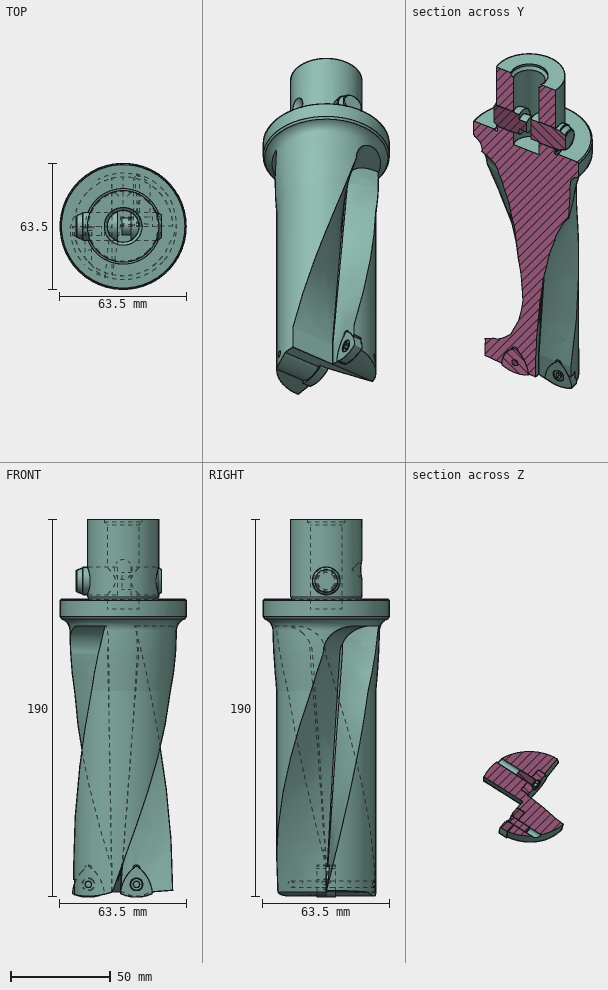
import cadquery as cq
import math


shank_radius = 18.0
shank_height = 40.0
undercut_radius = 17.5
undercut_height = 1.0
groove_radius = 19.0
groove_depth = 0.6
bore_radius = 8.0
bore_depth = 45.0
counterbore_radius = 9.5
counterbore_depth = 1.2
dimple_radius = 5.0
dimple_z = 14.9
flange_radius = 63.5 / 2
flange_height = 10.0
flange_top_chamfer = 0.7
flange_bottom_chamfer_height = 1.2
flange_bottom_radius = 31.0

drill_length = 150.0
neck_radius = 26.8
neck_top_z = -15.8
neck_middle_radius = 26.1
neck_middle_z = -33.0
body_radius = 24.95
body_top_z = -46.5
past_body = 40.0

pin_radius = 7.0
pin_z = 9.1
thrust_pin_outer_x = -23.8
thrust_pin_inner_x = -2.9
thrust_pin_end_radius = 5.0
thrust_pin_edge_chamfer = 0.5
thrust_pin_taper_x = -20.5
thrust_pin_taper_radius = 6.6
catch_pin_outer_x = 19.3
catch_pin_shoulder_x = 4.0
catch_pin_inner_x = -0.5
catch_pin_nose_radius = 4.3
catch_pin_end_radius = 5.7
catch_pin_taper = 1.8

insert_corner_distance = 9.3
insert_side_distance = 6.5
insert_corner_radius = 0.8
insert_thickness = 4.6
insert_z = insert_side_distance - drill_length
inner_insert_x = 6.7
outer_insert_x = -17.5
corner_relief_radius = 1.8
corner_relief_inset = 1.3
screw_head_radius = 3.2
screw_radius = 1.6
screw_head_depth = 2.2
screw_head_recess = 0.4
screw_length = 12.0
socket_radius = 1.8
socket_depth = 1.6
outer_slot_x = -22.0
outer_slot_top_z = -141.1

end_low_z = -149.4
end_middle_z = -147.4
end_rim_z = -146.5
end_split_x = -5.6
inner_hump_half_width = 6.7

runout_radius = 14.0
flute_end_z = -13.5
runout_start_z = flute_end_z - runout_radius
flute_stations = 6
flute_reach = 60.0
flute_root_start_flat = 0.2
flute_root_end_flat = 0.9
face_rate = 0.57
flute_end_root = (-7.0, -7.2)
outer_flute_start_z = -134.8
outer_flute_root = (-5.7, 0.0)
outer_flute_face_angle = 180.0
outer_flute_wall_angle = 103.5
outer_flute_end_wall_angle = 182.0
inner_flute_start_z = -147.3
inner_flute_root = (-1.5, 0.0)
inner_flute_face_angle = 360.0
inner_flute_wall_angle = 257.4
inner_flute_end_wall_angle = 358.0


def on_body(angle):
    """Point on the body's outer circle."""
    return (
        body_radius * math.cos(math.radians(angle)),
        body_radius * math.sin(math.radians(angle)),
    )


def between(first, last, fraction):
    return first + (last - first) * fraction


def unit(start, end):
    length = math.hypot(end[0] - start[0], end[1] - start[1])
    return ((end[0] - start[0]) / length, (end[1] - start[1]) / length)


def along(start, direction, distance):
    return (start[0] + direction[0] * distance, start[1] + direction[1] * distance)


def flute_section(root, wall_angle, face_angle, root_flat):
    """Corner between the flute wall and the cutting face, open to the outside."""
    wall = unit(root, on_body(wall_angle))
    face = unit(root, on_body(face_angle))
    wall_end = along(root, wall, flute_reach)
    face_end = along(root, face, flute_reach)
    return [
        along(root, wall, root_flat),
        wall_end,
        along(wall_end, face, flute_reach),
        face_end,
        along(root, face, root_flat),
    ]


def section_wire(points, z):
    return cq.Wire.makePolygon([cq.Vector(x, y, z) for x, y in points], close=True)


def make_flute(start_z, start_root, start_wall_angle, start_face_angle, end_root, end_wall_angle):
    """Straight start, twisting length and rounded run-out of one flute."""

    def section(z):
        fraction = (min(z, runout_start_z) - start_z) / (runout_start_z - start_z)
        root = (
            between(start_root[0], end_root[0], fraction),
            between(start_root[1], end_root[1], fraction),
        )
        wall_angle = between(start_wall_angle, end_wall_angle, fraction)
        face_angle = start_face_angle + face_rate * (z - start_z)
        root_flat = between(flute_root_start_flat, flute_root_end_flat, fraction)
        return section_wire(flute_section(root, wall_angle, face_angle, root_flat), z)

    heights = [
        between(start_z, runout_start_z, i / (flute_stations - 1)) for i in range(flute_stations)
    ]
    twist = cq.Solid.makeLoft([section(z) for z in heights])

    start_section = flute_section(
        start_root, start_wall_angle, start_face_angle, flute_root_start_flat
    )
    straight = (
        cq.Workplane("XY", origin=(0, 0, start_z)).polyline(start_section).close().extrude(-past_body)
    )

    end_block = cq.Workplane(cq.Solid.makeLoft([section(runout_start_z), section(flute_end_z)], True))
    wall = unit(end_root, on_body(end_wall_angle))
    towards_face = (-wall[1], wall[0], 0)
    runout_plane = cq.Plane(
        origin=(end_root[0], end_root[1], runout_start_z),
        xDir=towards_face,
        normal=(wall[0], wall[1], 0),
    )
    diagonal = runout_radius * math.sqrt(0.5)
    runout_limit = (
        cq.Workplane(runout_plane)
        .threePointArc((runout_radius - diagonal, diagonal), (runout_radius, runout_radius))
        .lineTo(flute_reach, runout_radius)
        .lineTo(flute_reach, 0)
        .close()
        .extrude(flute_reach, both=True)
    )
    return cq.Workplane(twist).union(end_block.intersect(runout_limit)).union(straight)


def make_pin(points):
    """Turned pin on the X axis of the cross hole, from its (x, radius) outline."""
    first_x = points[0][0]
    last_x = points[-1][0]
    return (
        cq.Workplane("XZ", origin=(0, 0, pin_z))
        .polyline([(first_x, 0)] + points + [(last_x, 0)])
        .close()
        .revolve(360, (0, 0, 0), (1, 0, 0))
    )


def cutting_plane(x, facing):
    """Plane at an insert's centre; `facing` is the Y direction the cutting face looks at."""
    return cq.Plane(origin=(x, 0, insert_z), xDir=(-facing, 0, 0), normal=(0, facing, 0))


def make_insert_blank(x, facing):
    """Trigon insert without its hole: three bulged sides and rounded corners."""
    outline = cq.Workplane(cutting_plane(x, facing))

    def polar(distance, angle):
        return (
            distance * math.cos(math.radians(angle)),
            distance * math.sin(math.radians(angle)),
        )

    outline = outline.moveTo(*polar(insert_corner_distance, 90))
    for corner_angle in (90, 210, 330):
        outline = outline.threePointArc(
            polar(insert_side_distance, corner_angle + 60),
            polar(insert_corner_distance, corner_angle + 120),
        )
    prism = outline.close().extrude(-insert_thickness)
    return prism.edges("|Y").fillet(insert_corner_radius)


def make_screw_blank(x, facing):
    """Countersunk screw shape reaching up to the insert face."""
    return (
        cq.Workplane(cutting_plane(x, facing))
        .circle(screw_radius)
        .extrude(-screw_length)
        .union(screw_head(x, facing))
    )


def screw_head(x, facing):
    """Countersunk cone narrowing from the insert face."""
    cone = cq.Solid.makeCone(
        screw_head_radius,
        screw_radius,
        screw_head_depth,
        pnt=cq.Vector(x, 0, insert_z),
        dir=cq.Vector(0, -facing, 0),
    )
    return cq.Workplane(cone)


def make_screw(x, facing):
    """Screw with its head sunk a little below the insert face and a hexagon socket."""
    plane = cutting_plane(x, facing)
    recess = cq.Workplane(plane).circle(screw_head_radius).extrude(-screw_head_recess)
    socket = cq.Workplane(plane).polygon(6, 2 * socket_radius).extrude(-screw_head_recess - socket_depth)
    return make_screw_blank(x, facing).cut(recess).cut(socket)


def make_turned_body():
    """Shank, flange, necked drill body and the shank bore."""
    return (
        cq.Workplane("XZ")
        .moveTo(0, -drill_length)
        .lineTo(body_radius, -drill_length)
        .lineTo(body_radius, body_top_z)
        .threePointArc((neck_middle_radius, neck_middle_z), (neck_radius, neck_top_z))
        .tangentArcPoint((flange_bottom_radius, -flange_height), relative=False)
        .lineTo(flange_radius, flange_bottom_chamfer_height - flange_height)
        .lineTo(flange_radius, -flange_top_chamfer)
        .lineTo(flange_radius - flange_top_chamfer, 0)
        .lineTo(groove_radius, 0)
        .lineTo(groove_radius, -groove_depth)
        .lineTo(undercut_radius, -groove_depth)
        .lineTo(undercut_radius, undercut_height)
        .lineTo(shank_radius, undercut_height)
        .lineTo(shank_radius, shank_height)
        .lineTo(counterbore_radius, shank_height)
        .lineTo(counterbore_radius, shank_height - counterbore_depth)
        .lineTo(bore_radius, shank_height - counterbore_depth - (counterbore_radius - bore_radius))
        .lineTo(bore_radius, shank_height - bore_depth)
        .lineTo(0, shank_height - bore_depth)
        .close()
        .revolve(360, (0, 0, 0), (0, 1, 0))
    )


def make_end_relief():
    """Everything below the end: two humps behind the inserts and a rising rim on the +X side."""
    outer_hump_half_width = end_split_x - outer_insert_x
    return (
        cq.Workplane("XZ")
        .moveTo(outer_insert_x - outer_hump_half_width, end_middle_z)
        .threePointArc((outer_insert_x, end_low_z), (end_split_x, end_middle_z))
        .lineTo(inner_insert_x - inner_hump_half_width, end_middle_z)
        .threePointArc((inner_insert_x, end_low_z), (inner_insert_x + inner_hump_half_width, end_middle_z))
        .lineTo(body_radius, end_rim_z)
        .lineTo(past_body, end_rim_z)
        .lineTo(past_body, -drill_length - past_body)
        .lineTo(outer_insert_x - outer_hump_half_width, -drill_length - past_body)
        .close()
        .extrude(past_body, both=True)
    )


def make_insert_seat(x, facing):
    """Pocket for the insert with a relief at its upper corner, and the screw hole behind it."""
    plane = cutting_plane(x, facing)
    relief = (
        cq.Workplane(plane)
        .center(0, insert_corner_distance - corner_relief_inset)
        .circle(corner_relief_radius)
        .extrude(-insert_thickness)
    )
    screw_hole = cq.Workplane(plane).circle(screw_radius).extrude(-past_body)
    return [make_insert_blank(x, facing), relief, screw_hole]


thrust_pin = make_pin(
    [
        (thrust_pin_outer_x, thrust_pin_end_radius),
        (thrust_pin_outer_x + thrust_pin_edge_chamfer, thrust_pin_end_radius + thrust_pin_edge_chamfer),
        (thrust_pin_taper_x, thrust_pin_taper_radius),
        (thrust_pin_taper_x + pin_radius - thrust_pin_taper_radius, pin_radius),
        (thrust_pin_inner_x, pin_radius),
    ]
)
catch_pin = make_pin(
    [
        (catch_pin_inner_x, catch_pin_nose_radius),
        (catch_pin_shoulder_x, catch_pin_nose_radius),
        (catch_pin_shoulder_x, pin_radius),
        (catch_pin_outer_x - catch_pin_taper, pin_radius),
        (catch_pin_outer_x, catch_pin_end_radius),
    ]
)

insert_places = [(inner_insert_x, -1), (outer_insert_x, 1)]
inserts = [make_insert_blank(x, facing).cut(make_screw_blank(x, facing)) for x, facing in insert_places]
screws = [make_screw(x, facing) for x, facing in insert_places]

outer_flute = make_flute(
    outer_flute_start_z,
    outer_flute_root,
    outer_flute_wall_angle,
    outer_flute_face_angle,
    flute_end_root,
    outer_flute_end_wall_angle,
)
inner_flute = make_flute(
    inner_flute_start_z,
    inner_flute_root,
    inner_flute_wall_angle,
    inner_flute_face_angle,
    (-flute_end_root[0], -flute_end_root[1]),
    inner_flute_end_wall_angle,
)
cross_hole = cq.Workplane("YZ", origin=(0, 0, pin_z)).circle(pin_radius).extrude(past_body, both=True)
dimple = cq.Workplane(
    cq.Solid.makeCone(
        dimple_radius,
        0,
        dimple_radius,
        pnt=cq.Vector(0, shank_radius, dimple_z),
        dir=cq.Vector(0, -1, 0),
    )
)
outer_slot_corner = (outer_slot_x - past_body, -insert_thickness, outer_slot_top_z - past_body)
outer_slot = (
    cq.Workplane("XY", origin=outer_slot_corner).box(past_body, insert_thickness, past_body, centered=False)
)

body = make_turned_body().cut(outer_flute).cut(inner_flute)
body = body.cut(cross_hole).cut(dimple).cut(make_end_relief()).cut(outer_slot)
for x, facing in insert_places:
    for piece in make_insert_seat(x, facing):
        body = body.cut(piece)

result = cq.Compound.makeCompound(
    [
        *body.vals(),
        thrust_pin.val(),
        catch_pin.val(),
        *[insert.val() for insert in inserts],
        *[screw.val() for screw in screws],
    ]
)